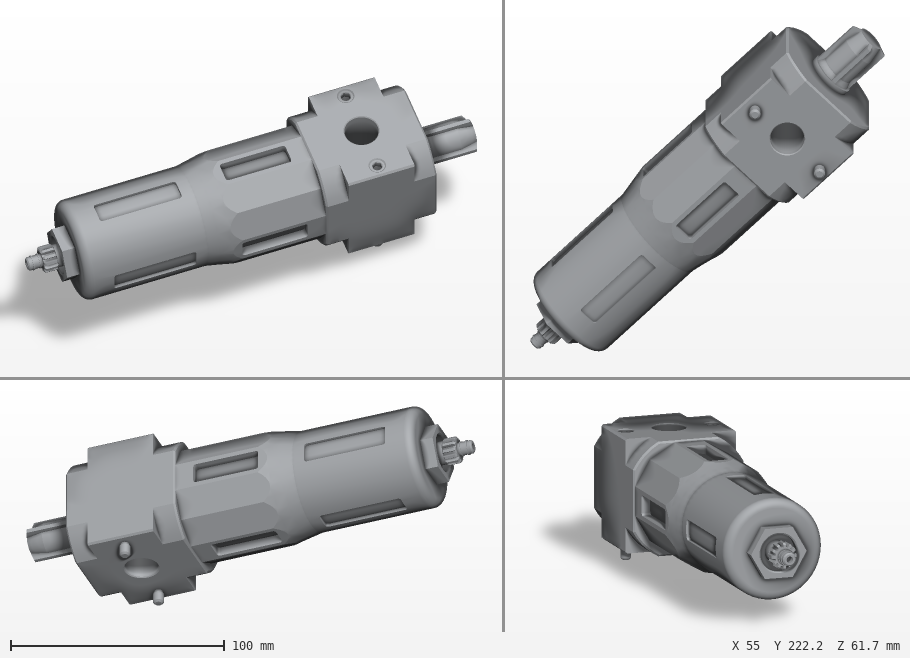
import cadquery as cq
import math


BLOCK_SIZE = 55.0
BLOCK_HALF = BLOCK_SIZE / 2
BLOCK_CHAMFER = 0.9
BAND_HALF_LENGTH = 16.5
END_RADIUS = 31.3
PORT_DIAMETER = 16.0
PORT_CHAMFER = 0.5

FACET_COUNT = 12
SLEEVE_APOTHEM = BLOCK_HALF - BLOCK_CHAMFER
SLEEVE_VERTEX_RADIUS = SLEEVE_APOTHEM / math.cos(math.pi / FACET_COUNT)
SLEEVE_END_Y = -68.9
BOWL_START_Y = -85.3
BOWL_END_Y = -145.5
BOWL_RADIUS = 48.7 / 2
BOWL_FILLET = 4.0

WINDOW_WIDTH = 10.0
WINDOW_FLOOR_RADIUS = 22.7
WINDOW_CORNER_RADIUS = 1.3
SLEEVE_WINDOW_Y = (-36.5, -69.0)
BOWL_WINDOW_Y = (-91.0, -132.0)

HEX_ACROSS_FLATS = 24.0
HEX_END_Y = -151.8
RECESS_DIAMETER = 18.0
RECESS_DEPTH = 4.0
RECESS_CHAMFER = 0.7
RECESS_FLOOR_Y = HEX_END_Y + RECESS_DEPTH

COLLAR_RADIUS = 22.0 / 2
COLLAR_END_Y = 30.2
KNOB_FOOT_RADIUS = 9.8
KNOB_CORE_RADIUS = 16.5 / 2
KNOB_CORE_Y = (33.0, 47.0)
KNOB_TIP_RADIUS = 12.7 / 2
KNOB_TIP_Y = 55.3
FIN_COUNT = 4
FIN_WIDTH = 2.0
FIN_RADIUS = 10.5
FIN_OUTER_END_Y = 53.8

DRAIN_LENGTH = 222.2
DRAIN_END_Y = KNOB_TIP_Y - DRAIN_LENGTH
DRAIN_SHAFT_RADIUS = 11.0 / 2
RIDGE_CORE_RADIUS = 9.0 / 2
RIDGE_COUNT = 12
RIDGE_RADIUS = 12.7 / 2
RIDGE_WIDTH = 1.3
RIDGE_CHAMFER = 0.7
RIDGE_Y = (-153.0, -159.8)
NECK_RADIUS = 6.5 / 2
NECK_END_CHAMFER = 0.7
RING_RADIUS = 7.0 / 2
RING_CENTERS_Y = (-161.0, -164.2)
RING_THICKNESSES = (0.5, 0.7)
OUTLET_DIAMETER = 3.0
OUTLET_DEPTH = 4.5

SCREW_SPACING = 42.9
SCREW_XS = (-SCREW_SPACING / 2, SCREW_SPACING / 2)
HEAD_DIAMETER = 7.0
HEAD_HEIGHT = 6.7
HEAD_HOLE_CHAMFER = 0.55
HEAD_TOP_Z = BLOCK_HALF - HEAD_HOLE_CHAMFER
HEAD_BOTTOM_Z = BLOCK_HALF - HEAD_HEIGHT
SHANK_DIAMETER = 4.2
THREAD_DIAMETER = 5.0
THREAD_CHAMFER = 0.9
THREAD_START_Z = -28.9
SCREW_END_Z = -34.2
SOCKET_ACROSS_FLATS = 4.2
SOCKET_DEPTH = 3.0
SOCKET_RIM_DIAMETER = 5.0
SOCKET_TIP_DEPTH = 1.0


def revolve_about_y(points):
    """Solid of revolution about Y from (radius, y) outline points that start and end on the axis."""
    return cq.Workplane("XY").polyline(points).close().revolve(360, (0, 0, 0), (0, 1, 0))


def cylinder_y(radius, y_start, y_end):
    return revolve_about_y([(0, y_start), (radius, y_start), (radius, y_end), (0, y_end)])


def cone_z(bottom_radius, top_radius, bottom_z, top_z):
    return cq.Workplane(
        cq.Solid.makeCone(bottom_radius, top_radius, top_z - bottom_z, cq.Vector(0, 0, bottom_z))
    )


def hexagon_diameter(across_flats):
    return across_flats / math.cos(math.pi / 6)


def make_block():
    round_ended = (
        cq.Workplane("XY").box(BLOCK_SIZE, BLOCK_SIZE, BLOCK_SIZE)
        .intersect(cylinder_y(END_RADIUS, -BLOCK_HALF, BLOCK_HALF))
        .faces("<Y or >Y").chamfer(BLOCK_CHAMFER)
    )
    band = (
        cq.Workplane("XY").box(BLOCK_SIZE, 2 * BAND_HALF_LENGTH, BLOCK_SIZE)
        .edges("|Y").chamfer(BLOCK_CHAMFER)
    )
    port = cq.Workplane("XY").circle(PORT_DIAMETER / 2).extrude(BLOCK_HALF, both=True)
    rim_radius = PORT_DIAMETER / 2 + PORT_CHAMFER
    top_rim = cone_z(PORT_DIAMETER / 2, rim_radius, BLOCK_HALF - PORT_CHAMFER, BLOCK_HALF)
    port = port.union(top_rim).union(top_rim.mirror("XY"))
    return round_ended.union(band).cut(port)


def make_window(y_range):
    """Cutter above the floor cylinder, on the +Z side."""
    y_start, y_end = y_range
    floor = cylinder_y(WINDOW_FLOOR_RADIUS, y_start, y_end)
    return (
        cq.Workplane("XY").center(0, (y_start + y_end) / 2)
        .rect(WINDOW_WIDTH, y_start - y_end).extrude(BLOCK_HALF)
        .edges("|Z").fillet(WINDOW_CORNER_RADIUS)
        .cut(floor)
    )


def make_bowl():
    envelope = revolve_about_y([
        (0, -BLOCK_HALF),
        (SLEEVE_VERTEX_RADIUS, -BLOCK_HALF),
        (SLEEVE_VERTEX_RADIUS, SLEEVE_END_Y),
        (BOWL_RADIUS, BOWL_START_Y),
        (0, BOWL_START_Y),
    ])
    facets = (
        cq.Workplane("XZ", origin=(0, -BLOCK_HALF, 0))
        .transformed(rotate=(0, 0, 180 / FACET_COUNT))
        .polygon(FACET_COUNT, 2 * SLEEVE_VERTEX_RADIUS)
        .extrude(-BLOCK_HALF - BOWL_START_Y)
    )
    cup = cylinder_y(BOWL_RADIUS, BOWL_START_Y, BOWL_END_Y).faces("<Y").edges().fillet(BOWL_FILLET)
    bowl = envelope.intersect(facets).union(cup)
    for y_range in (SLEEVE_WINDOW_Y, BOWL_WINDOW_Y):
        window = make_window(y_range)
        for side in range(4):
            bowl = bowl.cut(window.rotate((0, 0, 0), (0, 1, 0), 90 * side))
    return bowl


def make_hex_boss():
    return (
        cq.Workplane("XZ", origin=(0, BOWL_END_Y, 0))
        .polygon(6, hexagon_diameter(HEX_ACROSS_FLATS))
        .extrude(BOWL_END_Y - HEX_END_Y)
    )


def make_drain_recess():
    radius = RECESS_DIAMETER / 2
    return revolve_about_y([
        (0, RECESS_FLOOR_Y),
        (radius, RECESS_FLOOR_Y),
        (radius, HEX_END_Y + RECESS_CHAMFER),
        (radius + RECESS_CHAMFER, HEX_END_Y),
        (0, HEX_END_Y),
    ])


def make_knob():
    core_start_y, core_end_y = KNOB_CORE_Y
    knob = revolve_about_y([
        (0, BLOCK_HALF),
        (COLLAR_RADIUS, BLOCK_HALF),
        (COLLAR_RADIUS, COLLAR_END_Y),
        (KNOB_FOOT_RADIUS, COLLAR_END_Y),
        (KNOB_CORE_RADIUS, core_start_y),
        (KNOB_CORE_RADIUS, core_end_y),
        (KNOB_TIP_RADIUS, KNOB_TIP_Y),
        (0, KNOB_TIP_Y),
    ])
    fin = (
        cq.Workplane("XY")
        .polyline([
            (0, COLLAR_END_Y),
            (FIN_RADIUS, COLLAR_END_Y),
            (FIN_RADIUS, FIN_OUTER_END_Y),
            (KNOB_TIP_RADIUS, KNOB_TIP_Y),
            (0, KNOB_TIP_Y),
        ])
        .close()
        .extrude(FIN_WIDTH / 2, both=True)
    )
    for index in range(FIN_COUNT):
        knob = knob.union(fin.rotate((0, 0, 0), (0, 1, 0), 360 / FIN_COUNT * index))
    return knob


def make_screw_hole():
    """Stepped through hole that the screw fills, with a countersunk rim."""
    head_radius = HEAD_DIAMETER / 2
    rim = cone_z(head_radius, head_radius + HEAD_HOLE_CHAMFER, HEAD_TOP_Z, BLOCK_HALF)
    counterbore = (
        cq.Workplane("XY", origin=(0, 0, HEAD_BOTTOM_Z)).circle(head_radius).extrude(HEAD_HEIGHT)
    )
    clearance = cq.Workplane("XY").circle(SHANK_DIAMETER / 2).extrude(BLOCK_SIZE, both=True)
    return rim.union(counterbore).union(clearance)


def make_housing():
    housing = make_block().union(make_bowl()).union(make_hex_boss()).union(make_knob())
    housing = housing.cut(make_drain_recess())
    for x in SCREW_XS:
        housing = housing.cut(make_screw_hole().translate((x, 0, 0)))
    return housing


def make_drain():
    ridge_start_y, ridge_end_y = RIDGE_Y
    shaft = cylinder_y(DRAIN_SHAFT_RADIUS, RECESS_FLOOR_Y, ridge_start_y)
    drain = shaft.union(cylinder_y(RIDGE_CORE_RADIUS, ridge_start_y, ridge_end_y))
    ridge = (
        cq.Workplane("XY").center(RIDGE_RADIUS / 2, (ridge_start_y + ridge_end_y) / 2)
        .rect(RIDGE_RADIUS, ridge_start_y - ridge_end_y)
        .extrude(RIDGE_WIDTH / 2, both=True)
        .edges(">X and |Z").chamfer(RIDGE_CHAMFER)
    )
    for index in range(RIDGE_COUNT):
        drain = drain.union(ridge.rotate((0, 0, 0), (0, 1, 0), 360 / RIDGE_COUNT * index))
    neck = cylinder_y(NECK_RADIUS, ridge_end_y, DRAIN_END_Y).faces("<Y").edges().chamfer(NECK_END_CHAMFER)
    drain = drain.union(neck)
    for center_y, thickness in zip(RING_CENTERS_Y, RING_THICKNESSES):
        drain = drain.union(cylinder_y(RING_RADIUS, center_y + thickness / 2, center_y - thickness / 2))
    outlet = cylinder_y(OUTLET_DIAMETER / 2, DRAIN_END_Y + OUTLET_DEPTH, DRAIN_END_Y)
    return drain.cut(outlet)


def make_socket():
    """Hexagon socket with a countersunk mouth and a conical bottom."""
    flats_radius = SOCKET_ACROSS_FLATS / 2
    rim_radius = SOCKET_RIM_DIAMETER / 2
    floor_z = HEAD_TOP_Z - SOCKET_DEPTH
    hexagon = (
        cq.Workplane("XY", origin=(0, 0, floor_z))
        .polygon(6, hexagon_diameter(SOCKET_ACROSS_FLATS)).extrude(SOCKET_DEPTH)
    )
    mouth = cone_z(flats_radius, rim_radius, HEAD_TOP_Z - (rim_radius - flats_radius), HEAD_TOP_Z)
    tip = cone_z(0, flats_radius, floor_z - SOCKET_TIP_DEPTH, floor_z)
    return hexagon.union(mouth).union(tip)


def make_screw(x):
    head = (
        cq.Workplane("XY", origin=(0, 0, HEAD_BOTTOM_Z))
        .circle(HEAD_DIAMETER / 2).extrude(HEAD_TOP_Z - HEAD_BOTTOM_Z)
        .cut(make_socket())
    )
    shank = (
        cq.Workplane("XY", origin=(0, 0, THREAD_START_Z))
        .circle(SHANK_DIAMETER / 2).extrude(HEAD_BOTTOM_Z - THREAD_START_Z)
    )
    thread = (
        cq.Workplane("XY", origin=(0, 0, SCREW_END_Z))
        .circle(THREAD_DIAMETER / 2).extrude(THREAD_START_Z - SCREW_END_Z)
        .faces("<Z").chamfer(THREAD_CHAMFER)
    )
    return head.union(shank).union(thread).translate((x, 0, 0))


housing = make_housing()
drain = make_drain()
screws = [make_screw(x) for x in SCREW_XS]

result = cq.Compound.makeCompound([housing.val(), drain.val(), *[screw.val() for screw in screws]])